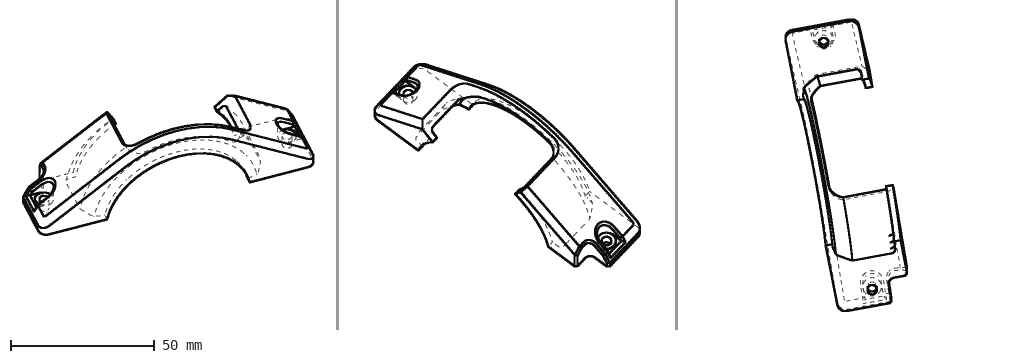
import cadquery as cq
import math

length = 102.0
width = 26.0
height = 31.9
half_length = length / 2

axis_z = -5.3
outer_radius = height - axis_z
end_wall_height = 5.1
corner_fillet = 3.0
rim_chamfer = 2.4

near_lip_radius = 30.0
near_lip_width = 2.3
cavity_radius = 34.0
cavity_fillet = 1.6
taper_start_x = 17.8
strip_bore_radius = 31.5
shoulder_x = 23.1
shoulder_radius = 30.7
far_lip_radius = 28.2
far_lip_width = 2.3
far_edge_radius = 27.0

strip_x = 22.1
window_front_angle = -29.0
window_back_angle = 50.0
window_fillet = 4.8

notch_width = 7.1
notch_length = 8.7
notch_fillet = 2.4
notch_edge_chamfer = 0.7

screw_x = 13.1
screw_y = 45.1
screw_diameter = 3.4
seat_width = 6.5
seat_z = 4.6
seat_recess = 0.3
seat_chamfer = 0.8

overcut = 10.2
margin = 0.1


def edges_within(low, high):
    """Selector for edges whose centres lie between two opposite corner points."""
    return cq.selectors.BoxSelector(low, high)


def arch_body():
    """Solid arch with straight flanks tangent to the crown and a chamfered upper rim."""
    corner_rise = end_wall_height - axis_z
    corner_distance = math.hypot(half_length, corner_rise)
    flank_angle = math.asin(outer_radius / corner_distance) - math.atan2(corner_rise, half_length)
    tangent_y = outer_radius * math.sin(flank_angle)
    tangent_z = axis_z + outer_radius * math.cos(flank_angle)
    body = (
        cq.Workplane("YZ")
        .moveTo(-half_length, 0)
        .lineTo(-half_length, end_wall_height)
        .lineTo(-tangent_y, tangent_z)
        .threePointArc((0, height), (tangent_y, tangent_z))
        .lineTo(half_length, end_wall_height)
        .lineTo(half_length, 0)
        .close()
        .extrude(width)
        .edges("|Z")
        .fillet(corner_fillet)
    )
    upper_rim = edges_within(
        (-margin, -length, end_wall_height - margin),
        (width + margin, length, height + margin),
    )
    return body.faces("<X or >X or <Y or >Y").edges("not |Z").edges(upper_rim).chamfer(rim_chamfer)


def bore():
    """Stepped bore, revolved about the arch axis."""
    profile = (
        cq.Workplane("XY")
        .moveTo(-overcut, 0)
        .lineTo(-overcut, near_lip_radius)
        .lineTo(near_lip_width, near_lip_radius)
        .lineTo(near_lip_width, cavity_radius - cavity_fillet)
        .radiusArc((near_lip_width + cavity_fillet, cavity_radius), cavity_fillet)
        .lineTo(taper_start_x, cavity_radius)
        .lineTo(strip_x, strip_bore_radius)
        .lineTo(shoulder_x, shoulder_radius)
        .lineTo(width - far_lip_width, far_lip_radius)
        .lineTo(width - far_lip_width, far_edge_radius)
        .lineTo(width, far_edge_radius)
        .lineTo(width, 0)
        .close()
    )
    return profile.revolve(360, (0, 0, 0), (1, 0, 0)).translate((0, 0, axis_z))


def window():
    """Sector with radial end walls and rounded inner corners."""
    reach = 2 * outer_radius
    radial_edges = edges_within((0, -reach, axis_z), (width, reach, axis_z + reach / 2))
    front = math.radians(window_front_angle)
    back = math.radians(window_back_angle)
    return (
        cq.Workplane("YZ", origin=(-overcut, 0, 0))
        .moveTo(0, axis_z)
        .lineTo(reach * math.sin(front), axis_z + reach * math.cos(front))
        .lineTo(reach * math.sin(back), axis_z + reach * math.cos(back))
        .close()
        .extrude(strip_x + overcut)
        .faces(">X")
        .edges(radial_edges)
        .fillet(window_fillet)
    )


def notch():
    """Corner block with one rounded upright edge."""
    size_x = notch_width + overcut
    size_y = notch_length + overcut
    return (
        cq.Workplane("XY")
        .box(size_x, size_y, height, centered=False)
        .edges("|Z and >X and >Y")
        .fillet(notch_fillet)
        .translate((-overcut, -half_length - overcut, 0))
    )


def cut_notch(body):
    """Cut the corner notch and break its upper and outer upright edges."""
    body = body.cut(notch())
    inner_y = -half_length + notch_length
    notch_zone = edges_within(
        (-margin, -half_length - margin, margin),
        (notch_width + margin, inner_y + margin, height),
    )
    side_corner = edges_within((-margin, inner_y - margin, margin), (margin, inner_y + margin, height))
    end_corner = edges_within(
        (notch_width - margin, -half_length - margin, margin),
        (notch_width + margin, -half_length + margin, height),
    )
    rim = body.edges("not |Z").edges(notch_zone)
    rim = rim.add(body.edges("|Z").edges(side_corner))
    rim = rim.add(body.edges("|Z").edges(end_corner))
    return rim.chamfer(notch_edge_chamfer)


def cut_seat(body, side):
    """Cut a screw seat that opens towards one end; side is -1 or +1 along Y."""
    seat_radius = seat_width / 2
    slot_length = half_length - screw_y + overcut
    centre = (screw_x, side * screw_y)
    slot = (
        cq.Workplane("XY", origin=(0, 0, seat_z))
        .center(screw_x, side * (screw_y + slot_length / 2))
        .rect(seat_width, slot_length)
        .extrude(height)
        .union(cq.Workplane("XY", origin=(*centre, seat_z)).circle(seat_radius).extrude(height))
    )
    body = body.cut(slot)

    seat_ys = sorted((side * (screw_y - seat_radius - margin), side * half_length))
    mouth_ys = sorted((side * (half_length - rim_chamfer), side * half_length))
    left_x = screw_x - seat_radius - margin
    right_x = screw_x + seat_radius + margin
    side_rim = edges_within((left_x, seat_ys[0], seat_z + margin), (right_x, seat_ys[1], height))
    mouth = edges_within(
        (left_x, mouth_ys[0], seat_z - margin),
        (right_x, mouth_ys[1], seat_z + margin),
    )
    rim = body.edges("not |Z").edges(side_rim).add(body.edges("|X").edges(mouth))
    body = rim.chamfer(seat_chamfer)

    recess_plane = cq.Workplane("XY", origin=(*centre, seat_z - seat_recess))
    recess = recess_plane.circle(seat_radius).extrude(seat_recess)
    hole = cq.Workplane("XY", origin=(*centre, 0)).circle(screw_diameter / 2).extrude(height)
    return body.cut(recess).cut(hole)


result = arch_body().cut(window()).cut(bore())
result = cut_notch(result)
for side in (-1, 1):
    result = cut_seat(result, side)